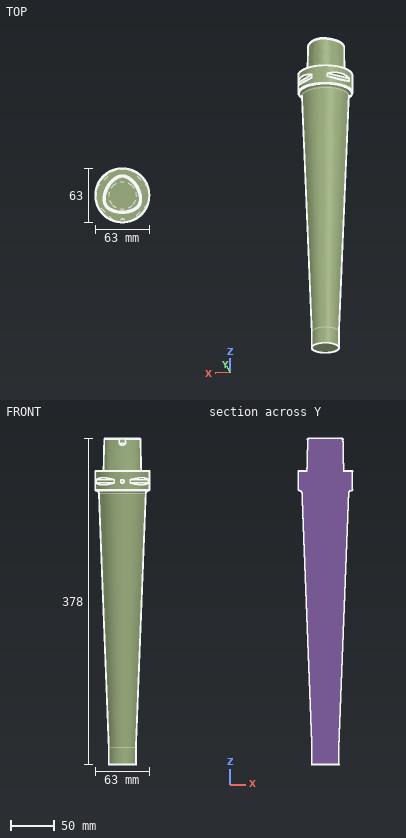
import cadquery as cq
import math

flange_diameter = 63.0
flange_height = 22.0
flange_radius = flange_diameter / 2
flange_upper_bevel = 0.5
flange_lower_bevel = 1.0

shank_height = 38.0
shank_diameter = 44.0
shank_taper = 1 / 20
lobe_eccentricity = 1.4
top_bevel_height = 1.5
top_bevel_inset = 1.0
profile_points = 72

notch_radius = 6.0
notch_axis_y = -24.3
notch_channel_depth = 6.0
notch_cone_angle = 55.0

body_length = 340.0
neck_diameter = 54.6
neck_height = 4.0
tip_diameter = 31.7
tip_length = 20.0

groove_z = -12.0
groove_floor_distance = 27.8
groove_floor_width = 3.6
groove_mouth_width = 8.2
groove_angles = (45, 135, 225, 315)
coding_hole_diameter = 4.0
coding_hole_depth = 4.0
coding_hole_point_angle = 120.0


def lobed_wire(diameter, z):
    """Closed constant-width curve with three lobes, one of them pointing to +Y."""
    points = []
    for i in range(profile_points):
        a = 2 * math.pi * i / profile_points
        u = diameter / 2 * math.cos(a) - lobe_eccentricity * (2 * math.cos(2 * a) - math.cos(4 * a))
        v = diameter / 2 * math.sin(a) + lobe_eccentricity * (2 * math.sin(2 * a) + math.sin(4 * a))
        points.append(cq.Vector(v, -u, z))
    edge = cq.Edge.makeSpline(points, periodic=True)
    return cq.Wire.assembleEdges([edge])


def make_shank():
    """Lobed taper with a bevelled top edge."""
    bevel_z = shank_height - top_bevel_height
    bevel_diameter = shank_diameter - shank_taper * bevel_z
    top_diameter = bevel_diameter - 2 * top_bevel_inset
    root = lobed_wire(shank_diameter, 0)
    bevel_start = lobed_wire(bevel_diameter, bevel_z)
    top = lobed_wire(top_diameter, shank_height)
    taper = cq.Solid.makeLoft([root, bevel_start], True)
    bevel = cq.Solid.makeLoft([bevel_start, top], True)
    return cq.Workplane(taper).union(cq.Workplane(bevel))


def make_turned_body():
    """Flange, neck fillet, conical body and cylindrical tip as one revolved profile."""
    tip_top_z = tip_length - body_length
    neck_radius = neck_diameter / 2
    neck_z = -flange_height - neck_height
    fillet_start_radius = flange_radius - flange_lower_bevel
    fillet_width = fillet_start_radius - neck_radius
    fillet_height = neck_height - flange_lower_bevel
    fillet_middle = (
        fillet_start_radius - fillet_width * math.sin(math.pi / 4),
        neck_z + fillet_height * math.sin(math.pi / 4),
    )
    return (
        cq.Workplane("XZ")
        .moveTo(0, 0)
        .lineTo(flange_radius - flange_upper_bevel, 0)
        .lineTo(flange_radius, -flange_upper_bevel)
        .lineTo(flange_radius, -flange_height)
        .lineTo(fillet_start_radius, neck_z + fillet_height)
        .threePointArc(fillet_middle, (neck_radius, neck_z))
        .lineTo(tip_diameter / 2, tip_top_z)
        .lineTo(tip_diameter / 2, -body_length)
        .lineTo(0, -body_length)
        .close()
        .revolve(360, (0, 0, 0), (0, 1, 0))
    )


def make_notch():
    """Cutter of the notch: an upright cylinder ending downward in a cone."""
    cone_height = notch_radius * math.tan(math.radians(notch_cone_angle))
    return (
        cq.Workplane("XZ", origin=(0, notch_axis_y, shank_height))
        .moveTo(0, 0)
        .lineTo(notch_radius, 0)
        .lineTo(notch_radius, -notch_channel_depth)
        .lineTo(0, -notch_channel_depth - cone_height)
        .close()
        .revolve(360, (0, 0, 0), (0, 1, 0))
    )


def make_gripper_groove(angle):
    """Straight groove of trapezoidal section across the flange rim at the given angle."""
    return (
        cq.Workplane("XZ")
        .moveTo(groove_floor_distance, groove_z - groove_floor_width / 2)
        .lineTo(flange_radius, groove_z - groove_mouth_width / 2)
        .lineTo(flange_radius, groove_z + groove_mouth_width / 2)
        .lineTo(groove_floor_distance, groove_z + groove_floor_width / 2)
        .close()
        .extrude(flange_radius, both=True)
        .rotate((0, 0, 0), (0, 0, 1), angle)
    )


def make_coding_hole():
    """Blind radial drilled hole with a conical end, entering the flange from -Y."""
    radius = coding_hole_diameter / 2
    floor_y = coding_hole_depth - flange_radius
    point_y = floor_y + radius / math.tan(math.radians(coding_hole_point_angle / 2))
    return (
        cq.Workplane("XY", origin=(0, 0, groove_z))
        .moveTo(0, -flange_diameter)
        .lineTo(radius, -flange_diameter)
        .lineTo(radius, floor_y)
        .lineTo(0, point_y)
        .close()
        .revolve(360, (0, 0, 0), (0, 1, 0))
    )


result = make_turned_body().union(make_shank()).cut(make_notch())
for groove_angle in groove_angles:
    result = result.cut(make_gripper_groove(groove_angle))
result = result.cut(make_coding_hole())